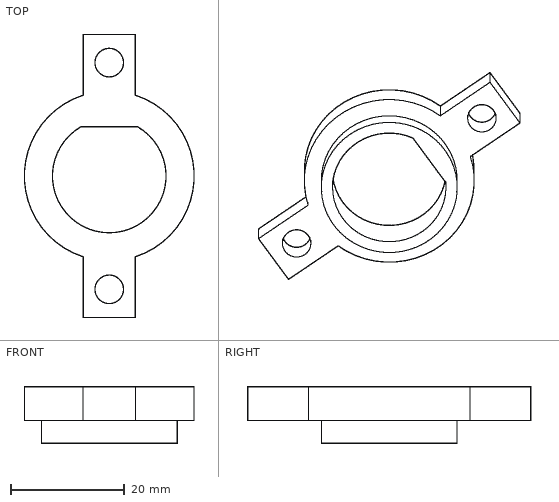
import cadquery as cq

overall_length = 50.0
overall_height = 10.0

ring_diameter = 30.0
flange_thickness = 6.0
tab_width = 9.2

boss_diameter = 24.0
boss_height = overall_height - flange_thickness

bore_diameter = 20.0
bore_flat_offset = 8.65

hole_diameter = 5.0
hole_spacing = 40.0


def make_flange():
    """Ring blank crossed by a bar whose ends form the two tabs."""
    base = cq.Workplane("XY").workplane(offset=boss_height)
    disc = base.circle(ring_diameter / 2).extrude(flange_thickness)
    bar = base.rect(tab_width, overall_length).extrude(flange_thickness)
    return disc.union(bar)


def make_boss():
    """Round boss from the bottom face up to the flange."""
    return cq.Workplane("XY").circle(boss_diameter / 2).extrude(boss_height)


def make_bore():
    """Cutter for the through bore, trimmed at the flat."""
    bore_radius = bore_diameter / 2
    cylinder = cq.Workplane("XY").circle(bore_radius).extrude(overall_height)
    kept_depth = bore_radius + bore_flat_offset
    kept_side = (
        cq.Workplane("XY")
        .center(0, bore_flat_offset - kept_depth / 2)
        .rect(bore_diameter, kept_depth)
        .extrude(overall_height)
    )
    return cylinder.intersect(kept_side)


def make_mounting_holes():
    """Cutters for one through hole in each tab."""
    return (
        cq.Workplane("XY")
        .pushPoints([(0, side * hole_spacing / 2) for side in (-1, 1)])
        .circle(hole_diameter / 2)
        .extrude(overall_height)
    )


result = make_flange().union(make_boss()).cut(make_bore()).cut(make_mounting_holes())